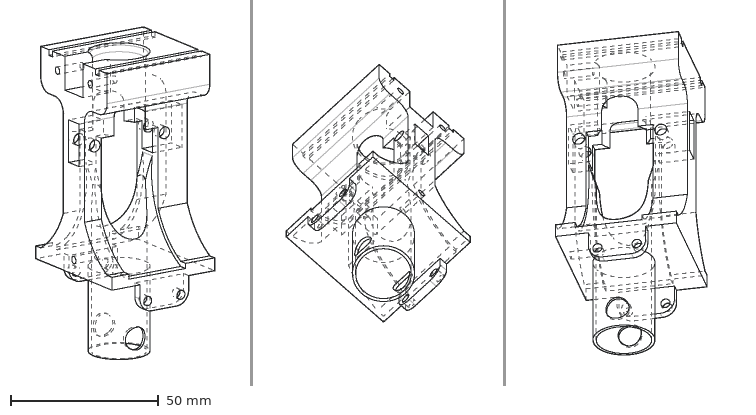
import cadquery as cq
import math

depth = 42.0
height = 105.5
base_width = 46.0

head_width = 40.1
head_bottom = 90.0
head_radius = 5.0
groove_width = 2.0
groove_depth = 2.0
groove_x = 14.0
slot_width = 11.0
slot_depth = 11.9

neck_width = 12.9
flare_top = 49.9
base_top = 34.5
base_bottom = 30.0
flare_radius = 31.7

axis_y = -2.5
tube_radius = 21.0 / 2
bore_radius = 18.0 / 2
tube_bore_radius = 18.8 / 2
mouth_chamfer = 1.5
mouth_angle = 45
mouth_fillet = 3.0
cross_hole_dia = 8.0
cross_hole_z = 6.9

pocket_width = 23.2
pocket_floor = 32.7
pocket_step = 1.6
opening_top = 78.4
opening_shoulder = 67.5
opening_slope = 17.3

window_width = 6.3
window_bottom = 68.7
window_top = 83.7

lug_thickness = 3.1
lug_width = 19.9
lug_y = 0.4
lug_bottom = 20.0
lug_radius = 5.0
lug_hole_dia = 3.2
lug_hole_pitch = 13.6
lug_hole_z = 23.7

screw_dia = 2.5
head_screw_x = 9.9
head_screw_z = 99.4
head_screw_depth = 10.0
base_screw_z = 35.0
leg_hole_dia = 4.1
leg_hole_offset = 14.2
leg_hole_z = 76.1

front_y = -depth / 2


def block(x_size, y_range, z_range):
    """Box centred on X between the given Y and Z limits."""
    y_size = y_range[1] - y_range[0]
    z_size = z_range[1] - z_range[0]
    box = cq.Workplane("XY").box(x_size, y_size, z_size, centered=(True, False, False))
    return box.translate((0, y_range[0], z_range[0]))


def cylinder_x(y, z, diameter):
    """Cylinder along X, long enough to cross the whole part."""
    plane = cq.Workplane("YZ").center(y, z)
    return plane.circle(diameter / 2).extrude(base_width, both=True)


def cylinder_y(x, z, diameter, length):
    """Cylinder running back from the front face."""
    plane = cq.Workplane("XZ", origin=(x, front_y, z))
    return plane.circle(diameter / 2).extrude(-length)


def flare_centre():
    """Centre of the right-hand flare arc, outside the body."""
    x0, z0 = neck_width / 2, flare_top
    x1, z1 = head_width / 2, base_top
    dx, dz = x1 - x0, z1 - z0
    chord = math.hypot(dx, dz)
    reach = math.sqrt(flare_radius**2 - (chord / 2) ** 2)
    return (x0 + x1) / 2 - dz / chord * reach, (z0 + z1) / 2 + dx / chord * reach


def make_body():
    """Head, neck, flare and base."""
    head = block(head_width, (front_y, -front_y), (head_bottom, height))
    head = head.edges("|Y and <Z").fillet(head_radius)
    neck_x = neck_width / 2
    neck_fillet_x = neck_x + head_radius
    neck_fillet_z = head_bottom - head_radius
    flare_x = head_width / 2
    base_x = base_width / 2
    right_half = (
        cq.Workplane("XZ")
        .moveTo(0, base_bottom)
        .lineTo(base_x, base_bottom)
        .lineTo(base_x, base_top)
        .lineTo(flare_x, base_top)
        .radiusArc((neck_x, flare_top), flare_radius)
        .lineTo(neck_x, neck_fillet_z)
        .radiusArc((neck_fillet_x, head_bottom), head_radius)
        .lineTo(0, head_bottom)
        .close()
        .extrude(depth / 2, both=True)
    )
    return head.union(right_half).union(right_half.mirror("YZ"))


def make_lugs():
    """Hanging lugs on both sides, each with two holes."""
    lug_range = (lug_y - lug_width / 2, lug_y + lug_width / 2)
    plate = block(base_width, lug_range, (lug_bottom, base_bottom))
    plate = plate.edges("|X and <Z").fillet(lug_radius)
    gap = block(base_width - 2 * lug_thickness, (front_y, -front_y), (lug_bottom, base_bottom))
    lugs = plate.cut(gap)
    for side in (-1, 1):
        lugs = lugs.cut(cylinder_x(lug_y + side * lug_hole_pitch / 2, lug_hole_z, lug_hole_dia))
    return lugs


def make_pocket():
    """Right-hand pocket: concentric with the flare, deeper by one step, cut off at a flat floor."""
    centre_x, centre_z = flare_centre()
    pocket_y = (axis_y - pocket_width / 2, axis_y + pocket_width / 2)
    plane = cq.Workplane("XZ", origin=(centre_x, pocket_y[0], centre_z))
    round_cut = plane.circle(flare_radius + pocket_step).extrude(-pocket_width)
    return round_cut.intersect(block(2 * base_width, pocket_y, (pocket_floor, opening_top)))


def make_opening():
    """Through opening above the web: upright sides that close to a V below the shoulder."""
    half_width = pocket_width / 2
    v_depth = half_width / math.tan(math.radians(opening_slope))
    outline = [
        (-half_width, opening_top),
        (half_width, opening_top),
        (half_width, opening_shoulder),
        (0, opening_shoulder - v_depth),
        (-half_width, opening_shoulder),
    ]
    plane = cq.Workplane("YZ").center(axis_y, 0)
    return plane.polyline(outline).close().extrude(neck_width / 2, both=True)


def make_bore():
    """Stepped bore with a 45 degree chamfered mouth, rounded where the chamfer meets the bore."""
    tangent = mouth_fillet * math.tan(math.radians(mouth_angle) / 2)
    tangent_step = tangent * math.cos(math.radians(mouth_angle))
    round_end = (bore_radius + tangent_step, height - mouth_chamfer + tangent_step)
    outline = (
        cq.Workplane("XZ", origin=(0, axis_y, 0))
        .lineTo(tube_bore_radius, 0)
        .lineTo(tube_bore_radius, opening_shoulder)
        .lineTo(bore_radius, opening_shoulder)
        .lineTo(bore_radius, height - mouth_chamfer - tangent)
        .radiusArc(round_end, mouth_fillet)
        .lineTo(bore_radius + mouth_chamfer, height)
        .lineTo(0, height)
        .close()
    )
    return outline.revolve(360, (0, 0, 0), (0, 1, 0))


tube = cq.Workplane("XY", origin=(0, axis_y, 0)).circle(tube_radius).extrude(base_bottom)
result = make_body().union(tube).union(make_lugs())

pocket = make_pocket()
result = result.cut(pocket).cut(pocket.mirror("YZ"))
result = result.cut(make_opening()).cut(make_bore())

result = result.cut(block(slot_width, (front_y, axis_y), (height - slot_depth, height)))
result = result.cut(block(window_width, (front_y, -front_y), (window_bottom, window_top)))

for side in (-1, 1):
    groove = block(groove_width, (front_y, -front_y), (height - groove_depth, height))
    result = result.cut(groove.translate((side * groove_x, 0, 0)))
    result = result.cut(cylinder_y(side * head_screw_x, head_screw_z, screw_dia, head_screw_depth))
    result = result.cut(cylinder_x(axis_y + side * leg_hole_offset, leg_hole_z, leg_hole_dia))

result = result.cut(cylinder_y(0, base_screw_z, screw_dia, axis_y - front_y))
result = result.cut(cylinder_x(axis_y, cross_hole_z, cross_hole_dia))